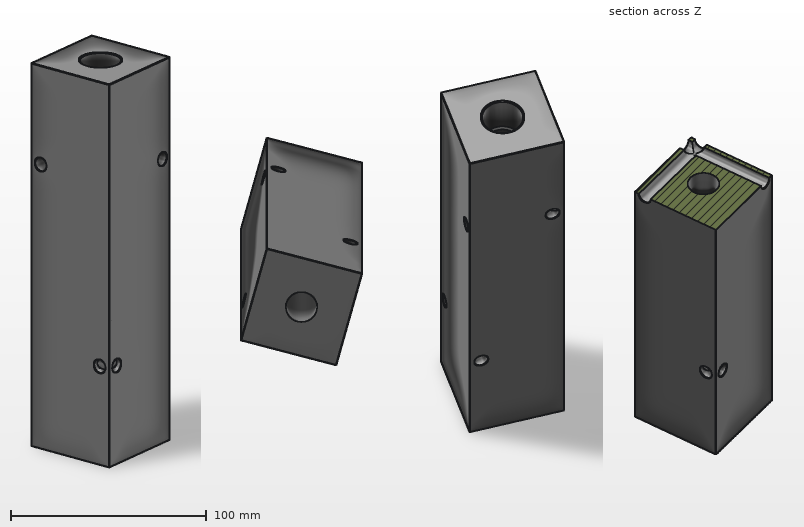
import cadquery as cq

block_height = 209.5
block_width = 50.7
edge_chamfer = 0.38

bore_diameter = 16.0
socket_top_diameter = 21.0
socket_bottom_diameter = 20.1
socket_depth = 18.9

countersink_diameter = 22.5
countersink_depth = 0.5

cross_hole_diameter = 7.1
cross_hole_chamfer = 0.31
cross_hole_side_inset = 6.3
cross_hole_end_inset = 54.0

half_width = block_width / 2
half_height = block_height / 2
cross_hole_offset = half_width - cross_hole_side_inset
cross_hole_level = half_height - cross_hole_end_inset


def bore_and_socket():
    """Solid of revolution about Z: through bore, tapered socket and countersink."""
    countersink_floor = half_height - countersink_depth
    socket_floor = half_height - socket_depth
    return (
        cq.Workplane("XZ")
        .moveTo(0, half_height)
        .lineTo(countersink_diameter / 2, half_height)
        .lineTo(socket_top_diameter / 2, countersink_floor)
        .lineTo(socket_bottom_diameter / 2, socket_floor)
        .lineTo(bore_diameter / 2, socket_floor)
        .lineTo(bore_diameter / 2, -half_height)
        .lineTo(0, -half_height)
        .close()
        .revolve(360, (0, 0, 0), (0, 1, 0))
    )


def cross_hole():
    """Hole along Y through the block, centred on the origin, with both mouths chamfered."""
    hole_radius = cross_hole_diameter / 2
    mouth_radius = hole_radius + cross_hole_chamfer
    chamfer_start = half_width - cross_hole_chamfer
    return (
        cq.Workplane("XY")
        .moveTo(0, -half_width)
        .lineTo(mouth_radius, -half_width)
        .lineTo(hole_radius, -chamfer_start)
        .lineTo(hole_radius, chamfer_start)
        .lineTo(mouth_radius, half_width)
        .lineTo(0, half_width)
        .close()
        .revolve(360, (0, 0, 0), (0, 1, 0))
    )


result = cq.Workplane("XY").box(block_width, block_width, block_height)
result = result.edges().chamfer(edge_chamfer)

result = result.cut(bore_and_socket())

hole_along_y = cross_hole()
hole_along_x = hole_along_y.rotate((0, 0, 0), (0, 0, 1), 90)
for side in (1, -1):
    offset = side * cross_hole_offset
    level = side * cross_hole_level
    result = result.cut(hole_along_y.translate((-offset, 0, level)))
    result = result.cut(hole_along_x.translate((0, offset, level)))